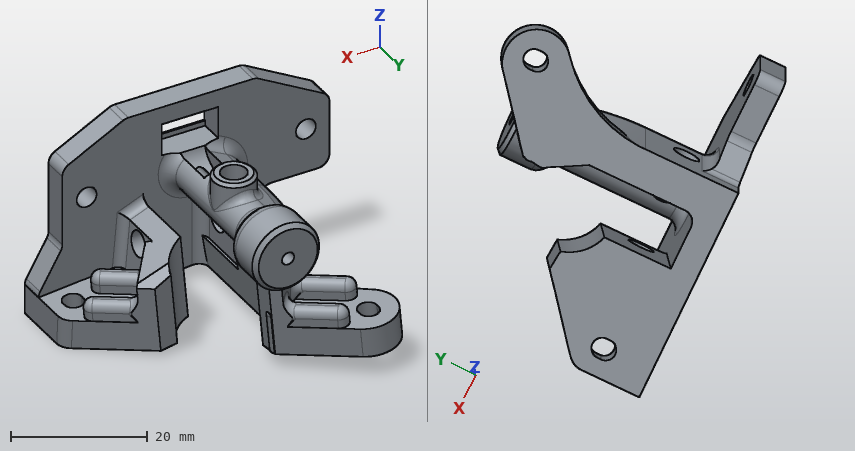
import cadquery as cq
import math


plate_thickness = 4.1
plate_left, plate_right, plate_foot_right = -23.5, 21.5, 25.5
plate_top = 11.6
plate_bottom = -19.91
left_shoulder_z, left_shoulder_x = 4.7, -11.1
right_shoulder_z, right_shoulder_x = 6.1, 10.85
step_z = -7.5
step_x = -12.9
foot_slope = 60.0
plate_corner_radius = 2.0
plate_hole_x = (-19.5, 17.4)
plate_hole_diameter = 3.35
window_width, window_bottom, window_top = 9.45, 4.1, 8.6
relief_floor, relief_lip = 3.2, 0.3

tilt = 5.2
motor_x, motor_y = 4.35, 21.55
motor_turn = math.radians(38.9)
motor_screw_pitch = 31.0
screw_offset = motor_screw_pitch / math.sqrt(2)
clearance_radius = 7.0
arm_thickness = 5.0
arm_half_width = 5.0
screw_slot_width, screw_slot_length = 3.1, 3.7

arm_end_offset = 21.5
arm_sweep_radius = 20.3
left_wall_offset, right_wall_offset = 10.4, 11.2
tip_offset, tip_chamfer = 8.5, 2.2
right_arm_corner_radius = 3.0
rib_width, rib_height = 3.0, 3.0
rib_flare_radius = 1.6
rib_spacing = 6.9
rib_end_offset = screw_offset - 3.7
rib_crest_flat = 0.05

tube_radius = 3.5
wall_left, wall_right = -7.77, -2.15
roof_slope = 27.0
roof_radius = 5.0
body_end = 26.0
taper_start, taper_inset = 15.2, 1.7
flare_radius = 1.9
tip_wall_top = -3.0
bore_diameter, guide_bore_diameter, guide_bore_depth = 2.05, 4.2, 4.1

head_radius, head_start, head_end = 5.65, 26.55, 33.0
head_chamfer = 0.7
neck_radius = 2.0

boss_y, boss_radius, boss_top = 17.0, 3.45, 6.0
boss_chamfer, boss_fillet = 0.5, 1.3
boss_hole_diameter, boss_hole_depth = 4.1, 4.5

pocket_y, pocket_width, pocket_radius, pocket_floor = 8.44, 4.1, 3.7, 0.5
feed_opening_length = 3.6
cross_hole_z, cross_hole_diameter = -7.7, 4.1

block_left, block_height, block_width = 6.5, 14.3, 4.8
block_roof_slope, block_draft = 0.3, 1.5
tip_roof_slope, tip_crease_side = 0.5, 0.7
tip_wall_start = -4.0
block_flare_radius = 1.4

far = 60.0
tolerance = 0.01

tilt_tan = math.tan(math.radians(tilt))
motor_face_z = plate_bottom + plate_foot_right * tilt_tan
motor_plane = cq.Plane(
    origin=(0, 0, motor_face_z),
    xDir=(math.cos(math.radians(tilt)), 0, -math.sin(math.radians(tilt))),
    normal=(math.sin(math.radians(tilt)), 0, math.cos(math.radians(tilt))),
)
diagonal = (math.cos(motor_turn), -math.sin(motor_turn))
across = (math.sin(motor_turn), math.cos(motor_turn))


def bottom_z(x):
    """Height of the tilted motor face at a given X."""
    return motor_face_z - x * tilt_tan


def motor_point(along, side):
    """Point on the motor face, measured along and across the screw diagonal."""
    return (
        motor_x + along * diagonal[0] + side * across[0],
        motor_y + along * diagonal[1] + side * across[1],
    )


def motor_direction(direction):
    """World direction of a direction on the motor face."""
    return motor_plane.toWorldCoords(direction) - motor_plane.origin


def y_extrude(outline, start, end):
    """Extrude an XZ outline between two Y positions."""
    return outline.extrude(-(end - start)).translate((0, start, 0))


def y_cylinder(x, z, diameter, start, end):
    return y_extrude(cq.Workplane("XZ").center(x, z).circle(diameter / 2), start, end)


def plate_blank(thickness):
    """Plate outline with rounded corners, extruded from the outer face."""
    foot_z = step_z - (plate_foot_right - plate_right) * math.tan(math.radians(foot_slope))
    outline = [
        (plate_left, step_z),
        (plate_left, left_shoulder_z),
        (left_shoulder_x, plate_top),
        (right_shoulder_x, plate_top),
        (plate_right, right_shoulder_z),
        (plate_right, step_z),
        (plate_foot_right, foot_z),
        (plate_foot_right, plate_bottom),
        (wall_left, bottom_z(wall_left)),
        (wall_left, step_z - (wall_left - step_x)),
        (step_x, step_z),
    ]
    blank = y_extrude(cq.Workplane("XZ").polyline(outline).close(), 0, thickness)
    sharp_low_edges = cq.selectors.BoxSelector(
        (-far, -far, bottom_z(wall_left) - far), (far, far, bottom_z(wall_left) + 1)
    )
    return blank.edges(cq.selectors.SubtractSelector(
        cq.selectors.ParallelDirSelector(cq.Vector(0, 1, 0)), sharp_low_edges
    )).fillet(plate_corner_radius)


def body():
    """Tube along the bore with the roofed side wall that carries it."""
    slope = math.radians(roof_slope)
    touch_x = -tube_radius * math.sin(slope)
    touch_z = tube_radius * math.cos(slope)
    eave_z = touch_z - (touch_x - wall_left) * math.tan(slope)
    wall_outline = [
        (wall_left, bottom_z(wall_left)),
        (wall_left, eave_z),
        (touch_x, touch_z),
        (0, 0),
        (wall_right, 0),
        (wall_right, bottom_z(wall_right)),
    ]
    wall = y_extrude(cq.Workplane("XZ").polyline(wall_outline).close(), 0, body_end)
    taper_middle = (taper_start + body_end) / 2
    taper = (
        cq.Workplane("XY").workplane(offset=-far / 2)
        .moveTo(wall_left, taper_start)
        .threePointArc((wall_left + taper_inset / 4, taper_middle), (wall_left + taper_inset, body_end))
        .lineTo(wall_left - 1, body_end)
        .lineTo(wall_left - 1, taper_start)
        .close()
        .extrude(far)
    )
    eaves = cq.selectors.BoxSelector(
        (wall_left - 1, 0, eave_z - 0.5), (wall_left + taper_inset, body_end, touch_z), boundingbox=False
    )
    wall = wall.cut(taper)
    wall = wall.edges(eaves).edges("not(#Y or |Z)").fillet(roof_radius)
    tube = y_cylinder(0, 0, 2 * tube_radius, 0, head_start)
    return wall.union(tube)


def flared_onto_plate(shape, radius):
    """Blend a shape into the inner plate face and trim the blend to the plate outline."""
    slab = cq.Workplane("XY").box(2 * far, plate_thickness, 2 * far).translate((0, plate_thickness / 2, 0))
    seam = cq.selectors.BoxSelector(
        (-far / 2, plate_thickness - tolerance, -far / 2), (far / 2, plate_thickness + tolerance, far / 2)
    )
    blended = shape.union(slab).edges(seam).fillet(radius)
    flare_end = plate_thickness + radius
    beyond_flare = cq.Workplane("XY").box(2 * far, far, 2 * far).translate((0, flare_end + far / 2, 0))
    plate_prism = plate_blank(flare_end)
    return blended.intersect(beyond_flare).union(blended.intersect(plate_prism))


def head():
    """Round head with a conical neck, turned about the bore axis."""
    neck_end = head_start - (head_radius - tube_radius)
    outline = [
        (0, neck_end - neck_radius),
        (tube_radius, neck_end - neck_radius),
        (tube_radius, neck_end),
        (head_radius, head_start),
        (head_radius, head_end),
        (0, head_end),
    ]
    turned = cq.Workplane("XY").polyline(outline).close().revolve(360, (0, 0, 0), (0, 1, 0))
    for y in (neck_end, head_start):
        ring = cq.selectors.BoxSelector(
            (-far, y - tolerance, -far), (far, y + tolerance, far), boundingbox=True
        )
        turned = turned.edges(ring).fillet(neck_radius)
    return turned.faces(">Y").edges().chamfer(head_chamfer)


def with_boss(shape):
    """Add the boss and blend its foot into the tube."""
    post = cq.Workplane("XY").center(0, boss_y).circle(boss_radius).extrude(boss_top)
    post = post.faces(">Z").edges().chamfer(boss_chamfer)
    reach = boss_radius + 0.05
    foot = cq.selectors.BoxSelector(
        (-reach, boss_y - reach, 0), (reach, boss_y + reach, boss_top - 1), boundingbox=True
    )
    return shape.union(post).edges(foot).fillet(boss_fillet)


def left_arm(height):
    """Left motor arm: rounded end, concave outer side, edge clearing the motor boss."""
    centre_x = wall_left - arm_sweep_radius
    centre_side = -arm_half_width - arm_sweep_radius
    centre_y = motor_y + (centre_side - (centre_x - motor_x) * across[0]) / across[1]
    sweep_start = (centre_x + arm_sweep_radius * across[0], centre_y + arm_sweep_radius * across[1])
    middle_angle = (math.pi / 2 - motor_turn) / 2
    sweep_middle = (
        centre_x + arm_sweep_radius * math.cos(middle_angle),
        centre_y + arm_sweep_radius * math.sin(middle_angle),
    )
    chamfer_side = arm_half_width - tip_chamfer
    return (
        cq.Workplane(motor_plane)
        .moveTo(wall_left, 0)
        .lineTo(wall_left, centre_y)
        .threePointArc(sweep_middle, sweep_start)
        .lineTo(*motor_point(-arm_end_offset, -arm_half_width))
        .threePointArc(
            motor_point(-arm_end_offset - arm_half_width, 0), motor_point(-arm_end_offset, arm_half_width)
        )
        .lineTo(*motor_point(-tip_offset, arm_half_width))
        .lineTo(*motor_point(tip_chamfer - tip_offset, chamfer_side))
        .lineTo(wall_right, motor_y)
        .lineTo(wall_right, 0)
        .close()
        .extrude(height)
    )


def diagonal_band(start, end, low_side=-far, high_side=far):
    """Tall prism between limits along and across the screw diagonal."""
    corners = [motor_point(along, side) for along, side in (
        (start, low_side), (end, low_side), (end, high_side), (start, high_side)
    )]
    return cq.Workplane(motor_plane).polyline(corners).close().extrude(far)


def left_tip_wall():
    """Wall standing on the inner end of the left arm, under the head."""
    inner_end = left_arm(far).intersect(diagonal_band(-left_wall_offset, far))
    corner = (wall_left + taper_inset + far / 2, taper_start + far / 2, tip_wall_top - far / 2)
    return inner_end.intersect(cq.Workplane("XY").box(far, far, far).translate(corner))


def motor_clearance():
    """Scoop around the motor axis with the chamfered inner tip of the right side."""
    scoop = cq.Workplane(motor_plane).center(motor_x, motor_y).circle(clearance_radius).extrude(far)
    chamfer_side = arm_half_width - tip_chamfer
    tip_corners = [motor_point(along, side) for along, side in (
        (0, chamfer_side),
        (tip_offset - tip_chamfer, chamfer_side),
        (tip_offset, arm_half_width),
        (0, arm_half_width),
    )]
    tip_cut = cq.Workplane(motor_plane).polyline(tip_corners).close().extrude(far)
    return scoop.union(tip_cut)


def right_arm():
    """Right motor arm: its outer corner is cut flush with the plate foot and rounded."""
    corner_x = plate_foot_right + 1
    corner_side = (corner_x - motor_x) * across[0]
    corner = (corner_x, motor_y + (arm_half_width - corner_side) / across[1])
    blank = (
        cq.Workplane(motor_plane)
        .moveTo(block_left, 0)
        .lineTo(block_left, motor_y)
        .lineTo(*motor_point(tip_offset - tip_chamfer, arm_half_width - tip_chamfer))
        .lineTo(*motor_point(tip_offset, arm_half_width))
        .lineTo(*corner)
        .lineTo(corner[0], 0)
        .close()
        .extrude(arm_thickness)
    )
    foot_limit = cq.Workplane("XY").box(far, 2 * far, 2 * far).translate((plate_foot_right - far / 2, 0, 0))
    return blank.cut(motor_clearance()).intersect(foot_limit).edges(
        cq.NearestToPointSelector((plate_foot_right, corner[1], bottom_z(plate_foot_right) + arm_thickness / 2))
    ).fillet(right_arm_corner_radius)


def roofed_prism(width, draft):
    """Prism along the right block with an outward sloping roof and a drafted outer face."""
    plane = cq.Plane(motor_plane.origin, motor_plane.xDir, -motor_plane.yDir)
    outer = block_left + width
    eave_height = block_height - (width - draft) * block_roof_slope
    return (
        cq.Workplane(plane)
        .moveTo(block_left, 0)
        .lineTo(block_left, block_height)
        .lineTo(outer - draft, eave_height)
        .lineTo(outer, arm_thickness)
        .lineTo(outer, 0)
        .close()
        .extrude(-far)
    )


def above_tip_roof():
    """Space above the roof that falls towards the tip of the right block."""
    plane = cq.Plane(
        origin=motor_plane.toWorldCoords(motor_point(0, tip_crease_side)),
        xDir=motor_direction(across),
        normal=motor_direction(diagonal),
    )
    outer_x = motor_point(right_wall_offset, 0)[0]
    crease_height = block_height - (outer_x - block_left) / 2 * block_roof_slope
    fall = far * tip_roof_slope
    return (
        cq.Workplane(plane)
        .moveTo(-far, crease_height + fall)
        .lineTo(far, crease_height - fall)
        .lineTo(far, crease_height + fall)
        .close()
        .extrude(-far, both=True)
    )


def right_block():
    """Bent wall beside the feed gap, scooped around the motor axis."""
    before_bend = cq.Workplane(motor_plane).rect(2 * far, 2 * motor_y).extrude(far)
    straight = roofed_prism(block_width, block_draft).intersect(before_bend)
    tip = roofed_prism(far / 4, 0).intersect(
        diagonal_band(tip_offset - tip_chamfer, right_wall_offset, tip_wall_start, arm_half_width)
    )
    wall = straight.union(tip).cut(above_tip_roof()).cut(motor_clearance())
    left_side = (
        cq.Workplane(motor_plane)
        .center(block_left - far / 2, 0).rect(far, 2 * far).extrude(far)
    )
    return flared_onto_plate(wall, block_flare_radius).cut(left_side)


def rib(side, direction):
    """Round-topped rib from a tip wall towards a motor screw, flared where it meets the wall."""
    radius = rib_width / 2
    wall_offset = left_wall_offset if direction < 0 else right_wall_offset
    inner = wall_offset - radius
    run = rib_end_offset - inner
    middle = motor_point(direction * (inner + run / 2), side)
    angle = -math.degrees(motor_turn)
    top = arm_thickness + rib_height
    bar = (
        cq.Workplane(motor_plane).center(*middle)
        .transformed(rotate=(0, 0, angle)).slot2D(run + rib_width, rib_width).extrude(top)
    )
    top_face = cq.selectors.DirectionMinMaxSelector(motor_plane.zDir)
    bar = bar.faces(top_face).edges().fillet(radius - rib_crest_flat)

    axis_start = motor_point(direction * wall_offset, side)
    axis_plane = cq.Plane(
        origin=motor_plane.toWorldCoords((*axis_start, top - radius)),
        xDir=motor_direction(diagonal) * direction,
        normal=motor_direction(across),
    )
    flare_middle = rib_flare_radius * (1 - math.sqrt(0.5))
    flare = (
        cq.Workplane(axis_plane)
        .lineTo(0, radius + rib_flare_radius)
        .threePointArc((flare_middle, radius + flare_middle), (rib_flare_radius, radius))
        .lineTo(rib_flare_radius, 0)
        .close()
        .revolve(360, (0, 0, 0), (1, 0, 0))
    )
    return bar.union(flare.intersect(diagonal_band(-far, far, -arm_half_width, arm_half_width)))


def screw_slot(direction):
    """Slot for one motor screw, through the arm."""
    centre = motor_point(direction * screw_offset, 0)
    return (
        cq.Workplane(motor_plane).center(*centre)
        .slot2D(screw_slot_length, screw_slot_width, 90).extrude(2 * arm_thickness, both=True)
    )


def bearing_pocket():
    """Round-bottomed slot in the tube, open upwards."""
    centre_z = pocket_floor + pocket_radius
    round_floor = (
        cq.Workplane("YZ").center(pocket_y, centre_z).circle(pocket_radius)
        .extrude(pocket_width / 2, both=True)
    )
    mouth = cq.Workplane("XY").box(pocket_width, 2 * pocket_radius, boss_top)
    return round_floor.union(mouth.translate((0, pocket_y, centre_z + boss_top / 2)))


def openings():
    """Everything cut from the finished body."""
    window = cq.Workplane("XY").box(window_width, plate_thickness, window_top - window_bottom)
    cuts = window.translate((0, plate_thickness / 2, (window_top + window_bottom) / 2))
    relief_depth = plate_thickness + flare_radius - relief_lip
    relief = cq.Workplane("XY").box(window_width, relief_depth, window_top - relief_floor)
    relief = relief.translate((0, relief_lip + relief_depth / 2, (window_top + relief_floor) / 2))
    cuts = cuts.union(relief)
    for x in plate_hole_x:
        cuts = cuts.union(y_cylinder(x, 0, plate_hole_diameter, 0, plate_thickness))
    cuts = cuts.union(y_cylinder(0, 0, guide_bore_diameter, 0, guide_bore_depth))
    cuts = cuts.union(y_cylinder(0, 0, bore_diameter, 0, head_end))
    feed_opening = (
        cq.Workplane("XY").center(0, pocket_y)
        .ellipse(bore_diameter / 2, feed_opening_length / 2).extrude(-far)
    )
    cross_hole = (
        cq.Workplane("YZ").center(pocket_y, cross_hole_z)
        .circle(cross_hole_diameter / 2).extrude(far, both=True)
    )
    boss_hole = (
        cq.Workplane("XY").workplane(offset=boss_top).center(0, boss_y)
        .circle(boss_hole_diameter / 2).extrude(-boss_hole_depth)
    )
    cuts = cuts.union(bearing_pocket()).union(feed_opening).union(cross_hole).union(boss_hole)
    for direction in (-1, 1):
        cuts = cuts.union(screw_slot(direction))
    return cuts


trunk = flared_onto_plate(body(), flare_radius)
trunk = with_boss(trunk).union(head()).union(left_tip_wall())
part = trunk.union(right_block())
part = part.union(plate_blank(plate_thickness))
part = part.union(left_arm(arm_thickness)).union(right_arm())
for direction in (-1, 1):
    for side in (-rib_spacing / 2, rib_spacing / 2):
        part = part.union(rib(side, direction))
result = part.cut(openings())